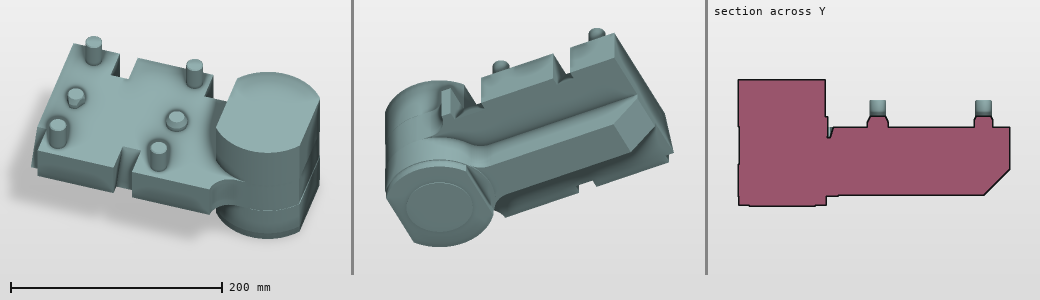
import cadquery as cq
import math

length = 257.0
plate_width = 144.0
plate_height = 35.0
plate_end_x = 256.2
plate_end_radius = 52.7
shoulder_x = 180.0
corner_radius = 20.0

housing_x = 215.0
housing_radius = 53.0
housing_flat_x = 174.2
housing_top = 79.7
housing_bottom = -30.8

disc_radius = 52.0
disc_flat_x = 173.5
disc_end_x = 256.5
disc_height = 8.7
cover_diameter = 63.0
cover_height = 0.8

beam_width = 39.5
beam_depth = 30.0
beam_chamfer = 25.0
beam_fillet = 20.5

notches = [(46.0, 63.7, 1), (138.8, 170.5, 1), (0.0, 9.5, -1), (84.8, 103.0, -1)]
notch_y_top = 42.7
notch_y_bottom = 63.0

pin_rows_x = (25.0, 125.0)
pin_y = 56.8
pin_diameter = 16.0
pin_height = 25.5
pin_chamfer = 1.0
locator_radius = 10.0
locator_tip_radius = 7.2
locator_height = 10.3
locator_straight = 4.5
diamond_half_length = 9.0
diamond_face_angle = 60.0

stub_end_x = 172.2
stub_chamfer = 0.8
pocket_x = 170.1
pocket_cone_depth = 3.0


def flatted_disc(radius, bottom, top, start_x, end_x):
    """Upright disc on the housing axis, cut flat at start_x and end_x."""
    height = top - bottom
    disc = cq.Workplane("XY", origin=(housing_x, 0, bottom)).circle(radius).extrude(height)
    keep = (
        cq.Workplane("XY", origin=((start_x + end_x) / 2, 0, bottom))
        .rect(end_x - start_x, 2 * radius + 2.5)
        .extrude(height)
    )
    return disc.intersect(keep)


def make_plate():
    half_width = plate_width / 2
    neck_x = shoulder_x + corner_radius
    plate = (
        cq.Workplane("XY")
        .rect(neck_x, plate_width)
        .extrude(plate_height)
        .translate((neck_x / 2, 0, 0))
    )
    neck = (
        cq.Workplane("XY", origin=((neck_x + housing_x) / 2, 0, 0))
        .rect(housing_x - neck_x, 2 * plate_end_radius)
        .extrude(plate_height)
    )
    corner_y = plate_end_radius + corner_radius
    corners = (
        cq.Workplane("XY")
        .pushPoints([(neck_x, corner_y), (neck_x, -corner_y)])
        .circle(corner_radius)
        .extrude(plate_height)
    )
    round_end = flatted_disc(
        plate_end_radius, 0, plate_height, housing_x - plate_end_radius, plate_end_x
    )
    plate = plate.cut(corners).union(neck).union(round_end)
    for start_x, end_x, side in notches:
        notch = (
            cq.Workplane("YZ", origin=(start_x, 0, 0))
            .polyline([
                (side * notch_y_bottom, 0),
                (side * half_width, 0),
                (side * half_width, plate_height),
                (side * notch_y_top, plate_height),
            ])
            .close()
            .extrude(end_x - start_x)
        )
        plate = plate.cut(notch)
    return plate


def make_beam():
    beam = (
        cq.Workplane("XZ", origin=(0, beam_width / 2, 0))
        .polyline([
            (0, 0),
            (0, beam_chamfer - beam_depth),
            (beam_chamfer, -beam_depth),
            (housing_x, -beam_depth),
            (housing_x, 0),
        ])
        .close()
        .extrude(beam_width)
    )
    fillet_y = beam_width / 2 + beam_fillet
    centre_distance = housing_radius + beam_fillet
    fillet_x = housing_x - math.sqrt(centre_distance**2 - fillet_y**2)
    web = (
        cq.Workplane("XY", origin=(0, 0, -beam_depth))
        .polyline([
            (fillet_x, -fillet_y),
            (housing_x, 0),
            (fillet_x, fillet_y),
        ])
        .close()
        .extrude(beam_depth)
    )
    fillet_circles = (
        cq.Workplane("XY", origin=(0, 0, -beam_depth))
        .pushPoints([(fillet_x, fillet_y), (fillet_x, -fillet_y)])
        .circle(beam_fillet)
        .extrude(beam_depth)
    )
    return beam.union(web.cut(fillet_circles))


def make_housing():
    disc_bottom = housing_bottom - disc_height
    upper = flatted_disc(housing_radius, plate_height, housing_top, housing_flat_x, length)
    lower = flatted_disc(
        housing_radius, housing_bottom, 0, housing_x - housing_radius, length
    )
    disc = flatted_disc(disc_radius, disc_bottom, housing_bottom, disc_flat_x, disc_end_x)
    cover = (
        cq.Workplane("XY", origin=(housing_x, 0, disc_bottom))
        .circle(cover_diameter / 2)
        .extrude(-cover_height)
    )
    return upper.union(lower).union(disc).union(cover)


def make_pins():
    return (
        cq.Workplane("XY", origin=(0, 0, plate_height))
        .pushPoints([(x, side * pin_y) for x in pin_rows_x for side in (-1, 1)])
        .circle(pin_diameter / 2)
        .extrude(pin_height)
        .faces(">Z")
        .chamfer(pin_chamfer)
    )


def make_locator(x):
    """Short round peg with a tapered tip."""
    return (
        cq.Workplane("XZ")
        .polyline([
            (0, 0),
            (locator_radius, 0),
            (locator_radius, locator_straight),
            (locator_tip_radius, locator_height),
            (0, locator_height),
        ])
        .close()
        .revolve(360, (0, 0), (0, 1))
        .translate((x, 0, plate_height))
    )


def make_diamond_locator(x):
    """Tapered peg relieved by four flats, leaving round lands at +Y and -Y."""
    half_width = diamond_half_length * math.tan(math.radians(diamond_face_angle))
    diamond = (
        cq.Workplane("XY", origin=(x, 0, plate_height))
        .polyline([
            (diamond_half_length, 0),
            (0, half_width),
            (-diamond_half_length, 0),
            (0, -half_width),
        ])
        .close()
        .extrude(locator_height)
    )
    return make_locator(x).intersect(diamond)


def make_pocket():
    """Drill-pointed pocket along X, centred on the top face of the plate."""
    return (
        cq.Workplane("XY")
        .polyline([
            (pocket_x - pocket_cone_depth, 0),
            (pocket_x, locator_radius),
            (housing_flat_x, locator_radius),
            (housing_flat_x, 0),
        ])
        .close()
        .revolve(360, (0, 0), (1, 0))
        .translate((0, 0, plate_height))
    )


def make_stub():
    """Chamfered end of a round bar that stands out of the housing flat."""
    return (
        cq.Workplane("YZ", origin=(stub_end_x, 0, plate_height))
        .circle(locator_radius)
        .extrude(housing_x - stub_end_x)
        .faces("<X")
        .chamfer(stub_chamfer)
    )


body = make_plate().union(make_beam()).union(make_housing())
body = body.cut(make_pocket()).union(make_stub())
body = body.union(make_pins())
body = body.union(make_diamond_locator(pin_rows_x[0]))
result = body.union(make_locator(pin_rows_x[1]))